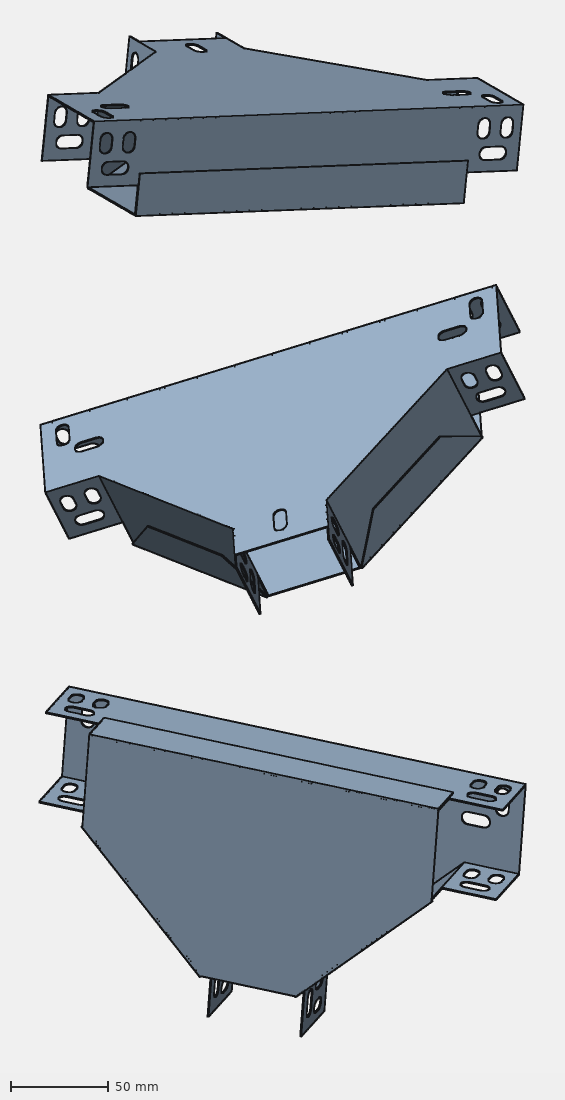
import cadquery as cq
import math


sheet = 0.7
clear_width = 50.0
clear_depth = 50.0
run_length = 250.0
arm_length = 29.5
flange_depth = 35.2
cover_wall_height = 22.7

web_setback = 9.8

slot_width = 7.0
short_slot = 11.0
long_slot = 15.5
wall_slot_from_end = 15.0
wall_slot_spacing = 13.4
upright_slot_depth = 12.0
level_slot_depth = 25.5
web_cross_slot_from_end = 11.6
web_cross_slot_from_back = 12.7
web_centre_slot_from_end = 25.4

turn_x = -29.084
turn_y = 19.297
turn_z = 61.274

arm_width = clear_width + 2 * sheet
total_depth = clear_depth + 2 * sheet
tray_depth = total_depth - sheet
half_run = run_length / 2
half_branch = arm_width / 2
half_junction = half_run - arm_length
junction_depth = arm_width + half_junction - half_branch
branch_end = junction_depth + arm_length
miter = math.tan(math.radians(22.5))
reach = run_length
overcut = 1.0


def tee_outline(inset, overrun):
    """Tee outline moved inwards by inset, with its three open ends pushed out by overrun."""
    knee = (half_junction - inset * miter, arm_width - inset)
    shoulder = (half_branch - inset, junction_depth - inset * miter)
    right = [
        (half_run + overrun, inset),
        (half_run + overrun, arm_width - inset),
        knee,
        shoulder,
        (half_branch - inset, branch_end + overrun),
    ]
    left = [(-x, y) for x, y in reversed(right)]
    return right + left


def prism(points, z_low, z_high):
    return cq.Workplane("XY").workplane(offset=z_low).polyline(points).close().extrude(z_high - z_low)


def block(x_low, x_high, y_low, y_high, z_low, z_high):
    size = (x_high - x_low, y_high - y_low, z_high - z_low)
    return cq.Workplane("XY").box(*size, centered=False).translate((x_low, y_low, z_low))


def slot_cutter(plane, centre, length, angle):
    """Slot through one sheet, centred on the given point of its outer face."""
    return (
        cq.Workplane(plane, origin=centre)
        .slot2D(length, slot_width, angle)
        .extrude(2 * sheet, both=True)
    )


def wall_slots(plane, wall_end, inward):
    """Three slots of an arm wall; wall_end is its top outer corner, inward points along the arm."""

    def wall_point(from_end, depth):
        return (wall_end[0] + inward[0] * from_end, wall_end[1] + inward[1] * from_end, -depth)

    cutter = slot_cutter(plane, wall_point(wall_slot_from_end, level_slot_depth), long_slot, 0)
    for side in (-1, 1):
        from_end = wall_slot_from_end + side * wall_slot_spacing / 2
        cutter = cutter.union(
            slot_cutter(plane, wall_point(from_end, upright_slot_depth), short_slot, 90)
        )
    return cutter


def make_tray():
    tray = prism(tee_outline(0, 0), -tray_depth, 0)
    tray = tray.cut(prism(tee_outline(sheet, overcut), -tray_depth - overcut, -sheet))

    for side in (-1, 1):
        x_ends = sorted((side * half_junction, side * reach))
        tray = tray.cut(block(*x_ends, -overcut, arm_width + overcut, -reach, -flange_depth))
    tray = tray.cut(block(-reach, reach, junction_depth, reach, -reach, -flange_depth))

    half_clear = clear_width / 2
    web_end = branch_end - web_setback
    tray = tray.cut(block(-half_clear, half_clear, web_end, branch_end + overcut, -sheet - overcut, overcut))

    for side in (-1, 1):
        for wall_y in (0, arm_width):
            tray = tray.cut(wall_slots("XZ", (side * half_run, wall_y), (-side, 0)))
        cross_point = (side * (half_run - web_cross_slot_from_end), web_cross_slot_from_back, 0)
        centre_point = (side * (half_run - web_centre_slot_from_end), arm_width / 2, 0)
        tray = tray.cut(slot_cutter("XY", cross_point, long_slot, 90))
        tray = tray.cut(slot_cutter("XY", centre_point, long_slot, 0))

    for wall_x in (-half_branch, half_branch):
        tray = tray.cut(wall_slots("YZ", (wall_x, branch_end), (0, -1)))
    branch_point = (0, branch_end - web_centre_slot_from_end, 0)
    return tray.cut(slot_cutter("XY", branch_point, long_slot, 90))


def cover_side_wall():
    """Wall on the outside of the +X 45 degree side, its ends cut back at 45 degrees above the floor."""
    length = (half_junction - half_branch) * math.sqrt(2)
    end_cut = cover_wall_height - sheet
    outline = [
        (0, 0),
        (length, 0),
        (length, sheet),
        (length - end_cut, cover_wall_height),
        (end_cut, cover_wall_height),
        (0, sheet),
    ]
    shoulder = (half_branch, junction_depth, -total_depth)
    plane = cq.Plane(origin=shoulder, xDir=(1, -1, 0), normal=(-1, -1, 0))
    return cq.Workplane(plane).polyline(outline).close().extrude(-sheet)


def make_cover():
    right_edge = [(half_junction, -sheet), (half_junction, arm_width), (half_branch, junction_depth)]
    left_edge = [(-x, y) for x, y in reversed(right_edge)]
    floor = prism(right_edge + left_edge, -total_depth, -tray_depth)
    wall_top = cover_wall_height - total_depth
    back_wall = block(-half_junction, half_junction, -sheet, 0, -total_depth, wall_top)
    side_wall = cover_side_wall()
    return floor.union(back_wall).union(side_wall).union(side_wall.mirror("YZ"))


def place(body):
    origin = (0, 0, 0)
    turned = body.rotate(origin, (1, 0, 0), turn_x)
    turned = turned.rotate(origin, (0, 1, 0), turn_y)
    return turned.rotate(origin, (0, 0, 1), turn_z)


tray = place(make_tray())
cover = place(make_cover())
result = cq.Compound.makeCompound([tray.val(), cover.val()])